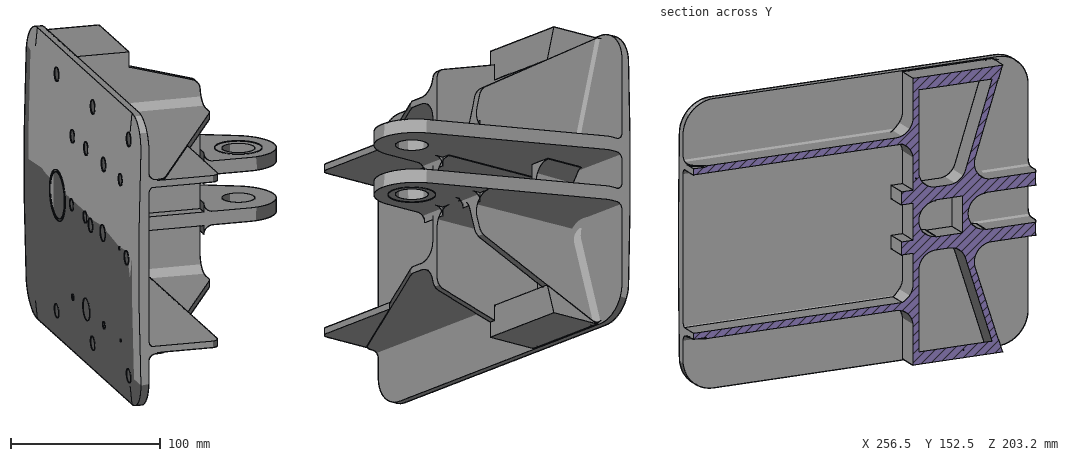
import cadquery as cq
import math

PLATE_X = 256.5
PLATE_Z = 203.2
PLATE_BACK = 8.0
PLATE_CORNER_R = 22.5
DOME_SAG = 1.8
RIM_WIDTH = 12.5
RIM_DROP = 0.8
FIELD_HALF_Z = PLATE_Z / 2 - RIM_WIDTH
FIELD_EDGE_SLOPE = 2 * DOME_SAG / FIELD_HALF_Z
RECESS_DEPTH = 0.5

BORE_X = -51.8
BORE_Y = 127.0
BORE_R = 11.0
SPOT_R = 16.0
LUG_R = 25.5
LUG_SHOULDER_R = 29.0
LUG_INNER_Z = 12.8
LUG_OUTER_Z = 22.3
LUG_TOE_Y = 19.2
LUG_TOE_R = 10.3

WEB_TOP_Y = 95.0
WEB_THICK = 4.5
WEB_FILLET_R = 12.3
WEB_CORNER_R = 7.2
ROOT_Z = 100.8

LEAN_WEB_X = -101.5
LEAN_WEB_FOOT_X = -76.2
LEAN_WEB_TOP_Z = 50.8
LEAN_WEB_WIDTH_X = 5.1
LEAN_ANGLE = math.atan2(LEAN_WEB_FOOT_X - LEAN_WEB_X, ROOT_Z - LUG_OUTER_Z)
LEAN_TANGENT = WEB_FILLET_R / math.tan((math.pi / 2 - LEAN_ANGLE) / 2)

CROSS_WEB_X = -35.0
CROSS_WEB_TOP_Z = 76.0

LOW_WEB_TOP_Y = 39.3

BLOCK_Y = 45.2
BLOCK_OVERHANG = 0.3

RIB_TOP_Z = 60.8
RIB_HIGH_X = -12.8
RIB_TOE_Y = 18.5
RIB_CORNER_R = 7.7
SHELF_STEP = 0.8
SHELF_TOP_Z = RIB_TOP_Z - SHELF_STEP
SHELF_Y = 57.5
SHELF_CORNER_R = 5.6

PAD_R = 6.2
LEAN_PAD_X = (-84.7, -66.7)
CROSS_PAD_X = (-45.5, BORE_X + LUG_R)

FOOT_R = 4.5
LUG_FOOT_X = (-PLATE_X / 2, LEAN_WEB_FOOT_X)
RIB_FOOT_X = (CROSS_WEB_X, PLATE_X / 2)

BOLT_R = 5.0
BOLT_X = (-58.5, 22.0, 102.4)
BOLT_Z = 82.3
PORT_COLUMNS_X = (-20.3, 10.0, 49.3, 86.7)
PORT_ROWS = (
    (50.0, (4.5, 4.5, 5.0, 4.0)),
    (2.3, (4.0, 4.0, 5.6, 1.15)),
    (-62.0, (2.18, 7.7, 2.5, 1.0)),
)
RING_OUTER_R = 17.5
RING_INNER_R = 16.0

CUT_MARGIN = 2.5
PICK_MARGIN = 0.3


def along_y(y0, y1):
    """Sketch plane in X and Z, with the distance to extrude from y0 to y1."""
    return cq.Workplane("XZ", origin=(0, y0, 0)), y0 - y1


def box(x0, x1, y0, y1, z0, z1):
    return cq.Workplane("XY").box(x1 - x0, y1 - y0, z1 - z0, False).translate((x0, y0, z0))


def both_sides(body):
    return body.union(body.mirror("XY"))


def side_outline(points):
    """Prism across the whole part from an outline given in Y and Z."""
    return cq.Workplane("YZ", origin=(-PLATE_X / 2, 0, 0)).polyline(points).close().extrude(PLATE_X)


def fillet_along(axis, body, places, radius):
    """Round the edges parallel to an axis that pass through the given pairs of other coordinates."""
    slot = "XYZ".index(axis)
    for place in places:
        low = [value - PICK_MARGIN for value in place]
        high = [value + PICK_MARGIN for value in place]
        low.insert(slot, -PLATE_X)
        high.insert(slot, PLATE_X)
        body = body.edges("|" + axis).edges(cq.selectors.BoxSelector(low, high)).fillet(radius)
    return body


def web_outline(top_z):
    """Outline that trims a web: a level top up to top_z, then a slope down to the plate edge."""
    outline = side_outline([(PLATE_BACK, 0), (WEB_TOP_Y, 0), (WEB_TOP_Y, top_z), (PLATE_BACK, ROOT_Z)])
    return fillet_along("X", outline, [(WEB_TOP_Y, top_z)], WEB_CORNER_R)


def bowed_block(lean):
    """Deep block with the bowed front and its upper and lower bevels.

    Its length along X leans back by the given slope, which turns its front into an end bevel.
    """
    half = PLATE_Z / 2
    edge_y = DOME_SAG + FIELD_EDGE_SLOPE * RIM_WIDTH + RIM_DROP
    outline = (
        cq.Workplane("YZ")
        .moveTo(edge_y, -half)
        .lineTo(DOME_SAG, -FIELD_HALF_Z)
        .threePointArc((0, 0), (DOME_SAG, FIELD_HALF_Z))
        .lineTo(edge_y, half)
        .lineTo(PLATE_Z, half)
        .lineTo(PLATE_Z, -half)
        .close()
    )
    sweep = cq.Vector(PLATE_X, PLATE_X * lean, 0)
    block = cq.Workplane(cq.Solid.extrudeLinear(outline.wires().val(), [], sweep))
    start_x = -PLATE_X / 2
    return block.translate((start_x, -lean * (PLATE_X - RIM_WIDTH), 0))


def corner_bevel():
    """Cutter for the conical rim bevel around the upper right corner, tilted with the bowed field."""
    center_x = PLATE_X / 2 - PLATE_CORNER_R
    center_z = PLATE_Z / 2 - PLATE_CORNER_R
    inner_r = PLATE_CORNER_R - RIM_WIDTH
    outer_r = PLATE_CORNER_R + CUT_MARGIN
    outer_y = RIM_DROP / RIM_WIDTH * (outer_r - inner_r)
    ring = (
        cq.Workplane("XY")
        .polyline([(inner_r, 0), (outer_r, outer_y), (outer_r, -CUT_MARGIN), (inner_r, -CUT_MARGIN)])
        .close()
        .revolve(90, (0, 0, 0), (0, -1, 0))
    )
    tilt = math.degrees(math.atan(FIELD_EDGE_SLOPE))
    center_y = DOME_SAG - FIELD_EDGE_SLOPE * inner_r
    return ring.rotate((0, 0, 0), (1, 0, 0), -tilt).translate((center_x, center_y, center_z))


def make_plate():
    sketch, depth = along_y(0, PLATE_BACK)
    slab = sketch.rect(PLATE_X, PLATE_Z).extrude(depth).edges("|Y").fillet(PLATE_CORNER_R)
    end_bevel = bowed_block(RIM_DROP / RIM_WIDTH)
    plate = slab.intersect(bowed_block(0)).intersect(end_bevel).intersect(end_bevel.mirror("YZ"))
    corners = both_sides(corner_bevel())
    return plate.cut(corners).cut(corners.mirror("YZ"))


def make_lug():
    """Upper lug, a plate in X and Y with a round eye."""
    left = -PLATE_X / 2
    top_y = BORE_Y + LUG_R
    shoulder_y = top_y - LUG_SHOULDER_R
    dx = BORE_X - left
    dy = shoulder_y - LUG_TOE_Y
    angle = math.atan2(-dy, -dx) - math.acos(LUG_SHOULDER_R / math.hypot(dx, dy))

    def on_shoulder(turn):
        return (BORE_X + LUG_SHOULDER_R * math.cos(turn), shoulder_y + LUG_SHOULDER_R * math.sin(turn))

    start = angle + 2 * math.pi
    middle = (start + math.pi / 2) / 2
    right = BORE_X + LUG_R
    lug = (
        cq.Workplane("XY", origin=(0, 0, LUG_INNER_Z))
        .moveTo(left, PLATE_BACK)
        .lineTo(left, LUG_TOE_Y)
        .lineTo(*on_shoulder(start))
        .threePointArc(on_shoulder(middle), (BORE_X, top_y))
        .radiusArc((right, BORE_Y), LUG_R)
        .lineTo(right, PLATE_BACK)
        .close()
        .extrude(LUG_OUTER_Z - LUG_INNER_Z)
    )
    return fillet_along("Z", lug, [(left, LUG_TOE_Y)], LUG_TOE_R)


def cove_profile(x, base_y, face_z, direction, radius):
    """Outline of a concave fillet between a surface at base_y and a face at face_z looking up or down."""
    reach = direction * radius
    sag = 1 - math.sqrt(0.5)
    return (
        cq.Workplane("YZ", origin=(x, 0, 0))
        .moveTo(base_y, face_z)
        .lineTo(base_y + radius, face_z)
        .threePointArc((base_y + sag * radius, face_z + sag * reach), (base_y, face_z + reach))
        .close()
    )


def make_cove(x_range, base_y, face_z, direction, radius):
    """Straight concave fillet over a range of X."""
    x0, x1 = x_range
    return cove_profile(x0, base_y, face_z, direction, radius).extrude(x1 - x0)


def make_lean_web_foot():
    """Concave foot that follows the lug, the round corner and the leaning web along the plate."""
    arc_end = (
        LEAN_WEB_FOOT_X - LEAN_TANGENT * math.sin(LEAN_ANGLE),
        LUG_OUTER_Z + LEAN_TANGENT * math.cos(LEAN_ANGLE),
    )
    left = -PLATE_X / 2
    path = (
        cq.Workplane("XZ", origin=(0, PLATE_BACK, 0))
        .moveTo(left, LUG_OUTER_Z)
        .lineTo(LEAN_WEB_FOOT_X - LEAN_TANGENT, LUG_OUTER_Z)
        .tangentArcPoint(arc_end, relative=False)
        .lineTo(LEAN_WEB_X, ROOT_Z)
    )
    foot = cove_profile(left, PLATE_BACK, LUG_OUTER_Z, 1, FOOT_R).sweep(path)
    return foot.intersect(web_outline(LEAN_WEB_TOP_Z))


def make_lean_web():
    """Web that leans outward from the lug towards the plate edge."""
    inner_z = (LUG_INNER_Z + LUG_OUTER_Z) / 2
    foot_x = LEAN_WEB_FOOT_X
    inner_x = foot_x + math.tan(LEAN_ANGLE) * (LUG_OUTER_Z - inner_z)
    sketch, depth = along_y(PLATE_BACK, WEB_TOP_Y)
    web = (
        sketch.polyline([
            (inner_x, inner_z),
            (LEAN_WEB_X, ROOT_Z),
            (LEAN_WEB_X + LEAN_WEB_WIDTH_X, ROOT_Z),
            (inner_x + LEAN_WEB_WIDTH_X, inner_z),
        ]).close().extrude(depth)
    )
    reach = LEAN_TANGENT + PICK_MARGIN
    strip = box(foot_x - reach, foot_x + LEAN_WEB_WIDTH_X + reach,
                PLATE_BACK, WEB_TOP_Y, inner_z, LUG_OUTER_Z)
    web = fillet_along(
        "Y",
        web.union(strip),
        [(foot_x, LUG_OUTER_Z), (foot_x + LEAN_WEB_WIDTH_X, LUG_OUTER_Z)],
        WEB_FILLET_R,
    )
    return web.intersect(web_outline(LEAN_WEB_TOP_Z))


def make_cross_web():
    """Upright web with the sloping rib on its right."""
    left = CROSS_WEB_X - WEB_THICK
    right = PLATE_X / 2
    inner_z = (LUG_INNER_Z + LUG_OUTER_Z) / 2
    web = box(left, CROSS_WEB_X, PLATE_BACK, WEB_TOP_Y, 0, ROOT_Z)
    reach = WEB_FILLET_R + PICK_MARGIN
    strip = box(left - reach, CROSS_WEB_X, PLATE_BACK, WEB_TOP_Y, inner_z, LUG_OUTER_Z)
    rib_low_z = RIB_TOP_Z - WEB_THICK
    rib = box(left, right, PLATE_BACK, WEB_TOP_Y, rib_low_z, RIB_TOP_Z)
    web = fillet_along(
        "Y",
        web.union(strip).union(rib),
        [(left, LUG_OUTER_Z), (CROSS_WEB_X, RIB_TOP_Z), (CROSS_WEB_X, rib_low_z)],
        WEB_FILLET_R,
    )
    web = web.intersect(web_outline(CROSS_WEB_TOP_Z))
    rib_outline = (
        cq.Workplane("XY")
        .polyline([
            (-PLATE_X / 2, PLATE_BACK), (-PLATE_X / 2, WEB_TOP_Y), (RIB_HIGH_X, WEB_TOP_Y),
            (right, RIB_TOE_Y), (right, PLATE_BACK),
        ])
        .close()
        .extrude(PLATE_Z)
    )
    corners = [(RIB_HIGH_X, WEB_TOP_Y), (right, RIB_TOE_Y)]
    rib_outline = fillet_along("Z", rib_outline, corners, RIB_CORNER_R)
    return web.intersect(rib_outline)


def make_shelf():
    """Rib just below the sloping one that stays level out to the plate edge."""
    shelf = box(CROSS_WEB_X - WEB_THICK / 2, PLATE_X / 2, PLATE_BACK, SHELF_Y,
                SHELF_TOP_Z - WEB_THICK, SHELF_TOP_Z)
    return shelf.edges("|Z and >X and >Y").fillet(SHELF_CORNER_R)


def make_block():
    """Triangular block on top of the webs; its left end follows the leaning web."""
    slope = (ROOT_Z - LEAN_WEB_TOP_Z) / (WEB_TOP_Y - PLATE_BACK)
    low_z = ROOT_Z - slope * (BLOCK_Y - PLATE_BACK)
    block = side_outline([(PLATE_BACK, ROOT_Z), (BLOCK_Y, ROOT_Z), (BLOCK_Y, low_z)])
    sketch, depth = along_y(PLATE_BACK, BLOCK_Y)
    span = sketch.polyline([
        (LEAN_WEB_X - BLOCK_OVERHANG, ROOT_Z),
        (CROSS_WEB_X, ROOT_Z),
        (CROSS_WEB_X, LUG_OUTER_Z),
        (LEAN_WEB_FOOT_X - BLOCK_OVERHANG, LUG_OUTER_Z),
    ]).close().extrude(depth)
    return block.intersect(span)


def make_inner_web(left, top_y):
    """Web between the lugs, hollowed on its left side into a round channel."""
    web = box(left - WEB_FILLET_R, left + WEB_THICK, PLATE_BACK, top_y, -LUG_INNER_Z, LUG_INNER_Z)
    sketch, depth = along_y(PLATE_BACK, top_y)
    channel = sketch.center(left - WEB_FILLET_R, 0).circle(WEB_FILLET_R).extrude(depth)
    return web.cut(channel)


def mark(x, z, radius):
    """Cutter for a shallow round recess that follows the bowed front face."""
    front_y = DOME_SAG * (z / FIELD_HALF_Z) ** 2
    sketch, depth = along_y(-CUT_MARGIN, front_y + RECESS_DEPTH)
    return sketch.center(x, z).circle(radius).extrude(depth)


def cut_marks(body):
    for x in BOLT_X:
        for z in (-BOLT_Z, BOLT_Z):
            body = body.cut(mark(x, z, BOLT_R))
    for x in BOLT_X[1:]:
        body = body.cut(mark(x, 0, BOLT_R))
    for z, radii in PORT_ROWS:
        for x, radius in zip(PORT_COLUMNS_X, radii):
            body = body.cut(mark(x, z, radius))
    ring = mark(BORE_X, 0, RING_OUTER_R).cut(mark(BORE_X, 0, RING_INNER_R))
    return body.cut(ring)


def cut_bore(body):
    bore = cq.Workplane("XY").center(BORE_X, BORE_Y).circle(BORE_R).extrude(PLATE_Z, both=True)
    body = body.cut(bore)
    spot = (
        cq.Workplane("XY", origin=(0, 0, LUG_OUTER_Z - RECESS_DEPTH))
        .center(BORE_X, BORE_Y).circle(SPOT_R).extrude(CUT_MARGIN)
    )
    return body.cut(both_sides(spot))


upper = make_lug()
for piece in (make_lean_web(), make_lean_web_foot(), make_cross_web(), make_shelf(), make_block()):
    upper = upper.union(piece)

coves = (
    (LEAN_PAD_X, WEB_TOP_Y, LUG_OUTER_Z, 1, PAD_R),
    (CROSS_PAD_X, WEB_TOP_Y, LUG_OUTER_Z, 1, PAD_R),
    (CROSS_PAD_X, WEB_TOP_Y, LUG_INNER_Z, -1, PAD_R),
    (LUG_FOOT_X, PLATE_BACK, LUG_INNER_Z, -1, FOOT_R),
    (RIB_FOOT_X, PLATE_BACK, RIB_TOP_Z, 1, FOOT_R),
    (RIB_FOOT_X, PLATE_BACK, RIB_TOP_Z - WEB_THICK, -1, FOOT_R),
)
for cove in coves:
    upper = upper.union(make_cove(*cove))

low_web = make_inner_web(LEAN_WEB_FOOT_X, LOW_WEB_TOP_Y)
high_web = make_inner_web(CROSS_WEB_X - WEB_THICK, WEB_TOP_Y)

result = make_plate().union(both_sides(upper)).union(low_web).union(high_web)
result = cut_bore(cut_marks(result)).solids()